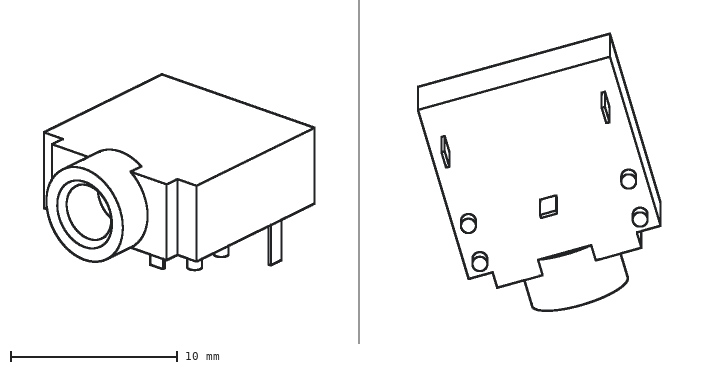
import cadquery as cq

body_width = 12.0
body_length = 11.0
body_height = 5.0

plate_width = 9.01
plate_thickness = 1.0

barrel_diameter = 6.0
barrel_length = 3.3
barrel_axis_z = body_height / 2
bore_diameter = 3.5
bore_depth = barrel_length
mouth_chamfer = 0.4

post_diameter = 0.9
post_length = 1.0
side_x = 5.0
front_post_y = 1.0
rear_post_y = 3.47
pin_width = 1.0
pin_thickness = 0.2
pin_length = 3.29
side_pin_y = 8.48


def make_housing():
    """Main block with the narrower plate on its front."""
    body = cq.Workplane("XY").box(body_width, body_length, body_height, centered=(True, False, False))
    plate = (
        cq.Workplane("XY")
        .box(plate_width, plate_thickness, body_height, centered=(True, False, False))
        .translate((0, -plate_thickness, 0))
    )
    return body.union(plate)


def barrel_cylinder(diameter, length):
    """Cylinder on the barrel axis, running back from the barrel mouth."""
    mouth = cq.Workplane("XZ", origin=(0, -barrel_length, barrel_axis_z))
    return mouth.circle(diameter / 2).extrude(-length)


def make_bore():
    """Bore ending at the housing face, widened by a conical mouth."""
    bore = barrel_cylinder(bore_diameter, bore_depth)
    cone = cq.Workplane(
        cq.Solid.makeCone(
            bore_diameter / 2 + mouth_chamfer,
            bore_diameter / 2,
            mouth_chamfer,
            pnt=cq.Vector(0, -barrel_length, barrel_axis_z),
            dir=cq.Vector(0, 1, 0),
        )
    )
    return bore.union(cone)


def make_post(x, y):
    return cq.Workplane("XY").center(x, y).circle(post_diameter / 2).extrude(-post_length)


def make_pin(x, y, size_x, size_y):
    return cq.Workplane("XY").center(x, y).rect(size_x, size_y).extrude(-pin_length)


result = make_housing().union(barrel_cylinder(barrel_diameter, barrel_length)).cut(make_bore())

for x in (-side_x, side_x):
    for y in (front_post_y, rear_post_y):
        result = result.union(make_post(x, y))
    result = result.union(make_pin(x, side_pin_y, pin_thickness, pin_width))

result = result.union(make_pin(0, rear_post_y, pin_width, pin_thickness))